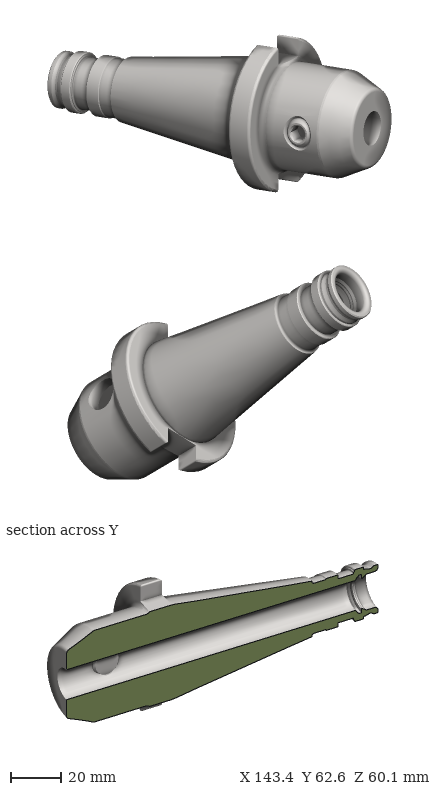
import cadquery as cq
import math

length = 143.4

lip_radius = 11.6
lip_chamfer = 0.5
lip_end = 2.0
ring_groove_radius = 10.8
ring_groove_start = 3.3
ring_groove_end = 4.2
ring_land_radius = 11.3
ring_land_start = 5.9
collar_radius = 12.5
collar_chamfer = 0.3
front_collar_start = 6.7
front_collar_end = 11.0
neck_radius = 10.6
neck_fillet = 0.3
neck_step_radius = 11.6
neck_step_end = 11.5
rear_collar_start = 18.4
rear_collar_end = 24.2
shank_radius = 12.0
shank_fillet = 0.9

taper_start = 30.4
taper_end = 93.9
taper_small_radius = 13.3
taper_slope = 7 / 48
taper_large_radius = taper_small_radius + taper_slope * (taper_end - taper_start)

flange_radius = 31.3
flange_start = 94.8
flange_end = 104.7
flange_rounding = 1.1
slot_width = 16.0
slot_floor_height = 22.7
slot_edge_rounding = 0.6

body_radius = 22.0
body_fillet = 2.2
nose_start = 130.8
nose_angle = 25.0
nose_rounding = 1.7
nose_blend_radius = 2.0
nose_end_radius = body_radius - (length - nose_start) * math.tan(math.radians(nose_angle))

bore_radius = 7.0
entry_radius = 8.5
entry_depth = 5.6
entry_step_radius = 7.6
entry_step_depth = 6.9
recess_radius = 9.0
recess_start = 7.9
recess_cone_start = 8.9
recess_break_radius = 8.0
recess_floor_angle = 59.0
mouth_rounding = 1.9

screw_x = 121.5
screw_radius = 6.0
screw_top = body_radius - 0.1
screw_tip = 5.6
screw_top_chamfer = 1.6
screw_tip_chamfer = 0.9
socket_flats = 6.0
socket_depth = 5.7
socket_countersink_radius = 3.7
tapped_radius = 5.2
countersink_half_length = 6.3
countersink_half_height = 8.3
countersink_depth = 2.5

balance_x = 118.6
balance_radius = 7.0
balance_depth = 5.7

arc_middle = 1 - math.sqrt(0.5)

slack = 0.07


def radial_cylinder(x, radius, start_y, end_y):
    """Cylinder along Y, between two Y values, on the axis Z = 0 at the given X."""
    start = cq.Vector(x, start_y, 0)
    along_y = cq.Vector(0, 1, 0)
    return cq.Workplane(cq.Solid.makeCylinder(radius, end_y - start_y, start, along_y))


def turned_body():
    """Everything outside that is turned, as one revolved half outline."""
    outline = (
        cq.Workplane("XY")
        .moveTo(0, 0)
        .lineTo(0, lip_radius - lip_chamfer)
        .lineTo(lip_chamfer, lip_radius)
        .lineTo(lip_end, lip_radius)
        .lineTo(ring_groove_start, ring_groove_radius)
        .lineTo(ring_groove_end, ring_groove_radius)
        .lineTo(ring_land_start, ring_land_radius)
        .lineTo(front_collar_start, ring_land_radius)
        .lineTo(front_collar_start, collar_radius - collar_chamfer)
        .lineTo(front_collar_start + collar_chamfer, collar_radius)
        .lineTo(front_collar_end - collar_chamfer, collar_radius)
        .lineTo(front_collar_end, collar_radius - collar_chamfer)
        .lineTo(front_collar_end, neck_step_radius)
        .lineTo(neck_step_end, neck_step_radius)
        .lineTo(neck_step_end, neck_radius + neck_fillet)
        .threePointArc(
            (neck_step_end + arc_middle * neck_fillet, neck_radius + arc_middle * neck_fillet),
            (neck_step_end + neck_fillet, neck_radius),
        )
        .lineTo(rear_collar_start, neck_radius)
        .lineTo(rear_collar_start, collar_radius - collar_chamfer)
        .lineTo(rear_collar_start + collar_chamfer, collar_radius)
        .lineTo(rear_collar_end - collar_chamfer, collar_radius)
        .lineTo(rear_collar_end, shank_radius)
        .lineTo(taper_start - shank_fillet, shank_radius)
        .threePointArc(
            (taper_start - arc_middle * shank_fillet, shank_radius + arc_middle * shank_fillet),
            (taper_start, shank_radius + shank_fillet),
        )
        .lineTo(taper_start, taper_small_radius)
        .lineTo(taper_end, taper_large_radius)
        .lineTo(flange_start, taper_large_radius)
        .lineTo(flange_start, flange_radius - flange_rounding)
        .threePointArc(
            (flange_start + arc_middle * flange_rounding, flange_radius - arc_middle * flange_rounding),
            (flange_start + flange_rounding, flange_radius),
        )
        .lineTo(flange_end - flange_rounding, flange_radius)
        .threePointArc(
            (flange_end - arc_middle * flange_rounding, flange_radius - arc_middle * flange_rounding),
            (flange_end, flange_radius - flange_rounding),
        )
        .lineTo(flange_end, body_radius + body_fillet)
        .threePointArc(
            (flange_end + arc_middle * body_fillet, body_radius + arc_middle * body_fillet),
            (flange_end + body_fillet, body_radius),
        )
        .lineTo(nose_start, body_radius)
        .lineTo(length, nose_end_radius)
        .lineTo(length, 0)
        .close()
    )
    return outline.revolve(360, (0, 0, 0), (1, 0, 0))


def edges_at(x):
    """Selector for the edges of the body and nose that are centred at the given X."""
    reach = body_radius
    return cq.selectors.BoxSelector((x - slack, -reach, -reach), (x + slack, reach, reach))


def round_nose(body):
    """Rounds the end of the nose and blends its cone into the body."""
    end_edges = edges_at(length)
    base_edges = edges_at(nose_start)
    body = body.edges(end_edges).fillet(nose_rounding)
    return body.edges(base_edges).fillet(nose_blend_radius)


def drive_slot():
    """Cutter for the +Z slot; its mouth flares so that the rim edges come out rounded."""
    half_width = slot_width / 2
    arc_y = half_width + slot_edge_rounding
    arc_distance = flange_radius - slot_edge_rounding
    arc_z = math.sqrt(arc_distance**2 - arc_y**2)
    rim_angle = math.atan2(arc_z, arc_y)
    middle_angle = (rim_angle + math.pi) / 2
    mouth_y = flange_radius * math.cos(rim_angle)
    mouth_z = flange_radius * math.sin(rim_angle)
    middle_y = arc_y + slot_edge_rounding * math.cos(middle_angle)
    middle_z = arc_z + slot_edge_rounding * math.sin(middle_angle)
    return (
        cq.Workplane("YZ", origin=(flange_start, 0, 0))
        .moveTo(-half_width, slot_floor_height)
        .lineTo(half_width, slot_floor_height)
        .lineTo(half_width, arc_z)
        .threePointArc((middle_y, middle_z), (mouth_y, mouth_z))
        .lineTo(mouth_y, flange_radius)
        .lineTo(-mouth_y, flange_radius)
        .lineTo(-mouth_y, mouth_z)
        .threePointArc((-middle_y, middle_z), (-half_width, arc_z))
        .close()
        .extrude(flange_end + body_fillet - flange_start)
    )


def cut_drive_slots(body):
    """Two slots through the flange, at +Z and -Z."""
    for turn in (0, 180):
        body = body.cut(drive_slot().rotate((0, 0, 0), (1, 0, 0), turn))
    return body


def bore():
    """Tool bore through the whole length, with a rounded entry and a recess behind a narrow ring."""
    recess_break = recess_cone_start + recess_radius - recess_break_radius
    recess_end = recess_break + (recess_break_radius - bore_radius) / math.tan(math.radians(recess_floor_angle))
    return (
        cq.Workplane("XY")
        .moveTo(0, 0)
        .lineTo(0, entry_radius + mouth_rounding)
        .threePointArc(
            (arc_middle * mouth_rounding, entry_radius + arc_middle * mouth_rounding),
            (mouth_rounding, entry_radius),
        )
        .lineTo(entry_depth, entry_radius)
        .lineTo(entry_depth + entry_radius - entry_step_radius, entry_step_radius)
        .lineTo(entry_step_depth, entry_step_radius)
        .lineTo(entry_step_depth + entry_step_radius - bore_radius, bore_radius)
        .lineTo(recess_start, bore_radius)
        .lineTo(recess_start, recess_radius)
        .lineTo(recess_cone_start, recess_radius)
        .lineTo(recess_break, recess_break_radius)
        .lineTo(recess_end, bore_radius)
        .lineTo(length, bore_radius)
        .lineTo(length, 0)
        .close()
        .revolve(360, (0, 0, 0), (1, 0, 0))
    )


def screw_countersink():
    """Oval countersink with 45 degree sides around the screw hole."""
    floor_half_length = countersink_half_length - countersink_depth
    floor_half_height = countersink_half_height - countersink_depth
    return (
        cq.Workplane("XZ", origin=(screw_x, -body_radius, 0))
        .ellipse(countersink_half_length, countersink_half_height)
        .workplane(offset=-countersink_depth)
        .ellipse(floor_half_length, floor_half_height)
        .loft(ruled=True)
    )


def screw_blank():
    """Outer shape of the clamping screw, which also forms its seat in the holder."""
    blank = radial_cylinder(screw_x, screw_radius, -screw_top, -screw_tip)
    blank = blank.faces("<Y").chamfer(screw_top_chamfer)
    return blank.faces(">Y").chamfer(screw_tip_chamfer)


def make_holder():
    """Holder with its drive slots, balancing hole, screw seat and bore."""
    holder = cut_drive_slots(round_nose(turned_body()))
    balance_floor = body_radius - balance_depth
    balance_hole = radial_cylinder(balance_x, balance_radius, balance_floor, body_radius)
    tapped_hole = radial_cylinder(screw_x, tapped_radius, -body_radius, 0)
    holder = holder.cut(balance_hole).cut(tapped_hole)
    holder = holder.cut(screw_countersink()).cut(screw_blank())
    return holder.cut(bore())


def make_screw():
    """Set screw with a countersunk hexagon socket in its outer end."""
    hexagon_corners = socket_flats / math.cos(math.pi / 6)
    outer_end = cq.Workplane("XZ", origin=(screw_x, -screw_top, 0))
    socket = outer_end.polygon(6, hexagon_corners).extrude(-socket_depth)
    countersink = cq.Workplane(cq.Solid.makeCone(
        socket_countersink_radius, 0, socket_countersink_radius,
        cq.Vector(screw_x, -screw_top, 0), cq.Vector(0, 1, 0)))
    return screw_blank().cut(socket).cut(countersink)


holder = make_holder()
screw = make_screw()

result = cq.Compound.makeCompound([holder.val(), screw.val()])